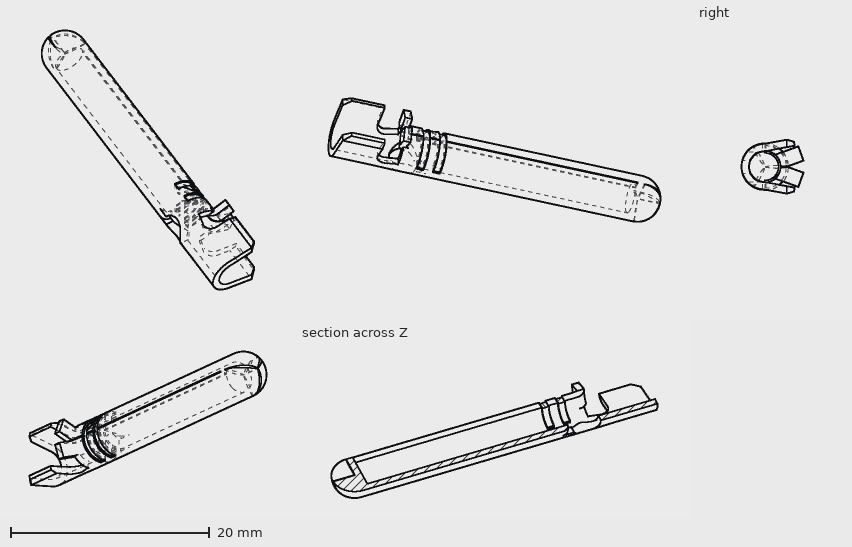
import cadquery as cq
import math


LENGTH = 34.35
SHEET = 0.75
EXTRA = 0.35

TUBE_RADIUS = 4.7 / 2
TUBE_BORE = TUBE_RADIUS - SHEET
TUBE_END = 27.75
SEAM_WIDTH = 0.1
PETAL_COUNT = 3
PETAL_SLIT_END_WIDTH = 0.05
PETAL_SLIT_MIDDLE_WIDTH = 0.27

RING_STARTS = (23.33, 25.08)
RING_WIDTH = 0.72
RING_SINK = 0.2
RING_RADIUS = TUBE_RADIUS - RING_SINK

HOLE_X = 26.65
HOLE_RADIUS = 1.5
SLOT_START = 24.12
SLOT_WIDTH = 1.35

EAR_ANGLE = 20.0
EAR_WIDTH = 1.55
EAR_TIP_RADIUS = 3.88
EAR_BEND_START = 27.25
EAR_BEND_RADIUS = 0.27

BARREL_START = 30.15
BARREL_RADIUS = 2.27
BARREL_Y = BARREL_RADIUS - TUBE_RADIUS
WING_TILT = 10.3
WING_LENGTH = 3.45
WING_BEVEL_LENGTH = 0.65
WING_BEVEL_DEPTH = 0.35
WING_CORNER_X = 0.72
WING_CORNER_Y = 0.75
WING_TIP_Y = 3.0

TRANSITION_TOP = 1.72
NOTCH_LOW_X = 29.17
NOTCH_LOW_Y = -0.25
NOTCH_LEFT_Y = 0.1
NOTCH_CORNER_RADIUS = BARREL_START - NOTCH_LOW_X

ORIGIN = (0, 0, 0)
X_AXIS = (1, 0, 0)
HALF_WAY = math.sqrt(0.5)


def make_pipe(outer, start, length):
    """Plain pipe along X with the sheet thickness as its wall."""
    plane = cq.Workplane("YZ", origin=(start, 0, 0))
    return plane.circle(outer).circle(outer - SHEET).extrude(length)


def block(x0, x1, y0, y1, z0, z1):
    """Box between two opposite corners."""
    return cq.Workplane("XY").box(x1 - x0, y1 - y0, z1 - z0, centered=False).translate((x0, y0, z0))


def make_dome():
    """Solid half ball at the tip with an end wall behind it, slit into petals down to that wall."""
    ball = cq.Workplane("XY").sphere(TUBE_RADIUS).translate((TUBE_RADIUS, 0, 0))
    dome = ball.intersect(block(0, TUBE_RADIUS, -TUBE_RADIUS, TUBE_RADIUS, -TUBE_RADIUS, TUBE_RADIUS))
    end_wall = cq.Workplane("YZ", origin=(TUBE_RADIUS, 0, 0)).circle(TUBE_RADIUS).extrude(SHEET)
    half_end = PETAL_SLIT_END_WIDTH / 2
    half_middle = PETAL_SLIT_MIDDLE_WIDTH / 2
    slit = (
        cq.Workplane("YZ")
        .moveTo(0, -half_end)
        .threePointArc((TUBE_RADIUS / 2, -half_middle), (TUBE_RADIUS, -half_end))
        .lineTo(TUBE_RADIUS, half_end)
        .threePointArc((TUBE_RADIUS / 2, half_middle), (0, half_end))
        .close()
        .extrude(TUBE_RADIUS)
    )
    for petal in range(PETAL_COUNT):
        dome = dome.cut(slit.rotate(ORIGIN, X_AXIS, petal * 360 / PETAL_COUNT))
    return dome.union(end_wall)


def make_ear(side):
    """Strip of the tube wall bent outwards; side is +1 for the +Z ear and -1 for the -Z ear."""
    bend_y = TUBE_RADIUS + EAR_BEND_RADIUS
    outside_radius = EAR_BEND_RADIUS + SHEET
    reach = EAR_TIP_RADIUS + EAR_WIDTH
    profile = (
        cq.Workplane("XY")
        .moveTo(EAR_BEND_START, TUBE_RADIUS)
        .threePointArc(
            (EAR_BEND_START + EAR_BEND_RADIUS * HALF_WAY, bend_y - EAR_BEND_RADIUS * HALF_WAY),
            (EAR_BEND_START + EAR_BEND_RADIUS, bend_y),
        )
        .lineTo(EAR_BEND_START + EAR_BEND_RADIUS, reach)
        .lineTo(EAR_BEND_START + outside_radius, reach)
        .lineTo(EAR_BEND_START + outside_radius, bend_y)
        .threePointArc(
            (EAR_BEND_START + outside_radius * HALF_WAY, bend_y - outside_radius * HALF_WAY),
            (EAR_BEND_START, TUBE_BORE),
        )
        .close()
    )
    flare = profile.revolve(360, ORIGIN, X_AXIS)
    return flare.intersect(ear_strip(side))


def ear_strip(side):
    """Straight-sided band that an ear occupies beside the seam, from the start of its bend onwards."""
    half_width = EAR_WIDTH / 2
    strip = block(EAR_BEND_START, BARREL_START, 0, EAR_TIP_RADIUS, -half_width, half_width)
    strip = strip.rotate(ORIGIN, X_AXIS, EAR_ANGLE)
    strip = strip.intersect(block(0, LENGTH, 0, LENGTH, SEAM_WIDTH / 2, LENGTH))
    return strip if side > 0 else strip.mirror("XY")


def make_trough(x, radius, centre_y, tilt, wall_tip):
    """U-shaped sheet section at x: round bottom, then straight walls leaning out by tilt degrees.

    wall_tip lists the corners of the wall end, from the outside of the sheet to its inside, each as
    (depth below the outside surface, distance along the wall from the round bottom).
    """
    sine = math.sin(math.radians(tilt))
    cosine = math.cos(math.radians(tilt))
    inner_radius = radius - SHEET

    def wall_point(depth, along, side):
        y = centre_y - (radius - depth) * sine + along * cosine
        z = (radius - depth) * cosine + along * sine
        return (y, side * z)

    section = cq.Workplane("YZ", origin=(x, 0, 0)).moveTo(*wall_point(0, 0, 1))
    section = section.threePointArc((centre_y - radius, 0), wall_point(0, 0, -1))
    for depth, along in wall_tip:
        section = section.lineTo(*wall_point(depth, along, -1))
    section = section.lineTo(*wall_point(SHEET, 0, -1))
    section = section.threePointArc((centre_y - inner_radius, 0), wall_point(SHEET, 0, 1))
    for depth, along in reversed(wall_tip):
        section = section.lineTo(*wall_point(depth, along, 1))
    return section.close()


def make_barrel():
    """Open crimp barrel with bevelled wing tips and cut corners at the free end."""
    bevelled_tip = [
        (0, WING_LENGTH - WING_BEVEL_LENGTH),
        (WING_BEVEL_DEPTH, WING_LENGTH),
        (SHEET, WING_LENGTH),
    ]
    section = make_trough(BARREL_START, BARREL_RADIUS, BARREL_Y, WING_TILT, bevelled_tip)
    barrel = section.extrude(LENGTH - BARREL_START)
    corner = (
        cq.Workplane("XY")
        .moveTo(LENGTH - WING_CORNER_X, WING_TIP_Y)
        .lineTo(LENGTH, WING_TIP_Y - WING_CORNER_Y)
        .lineTo(LENGTH + EXTRA, WING_TIP_Y + EXTRA)
        .lineTo(LENGTH - WING_CORNER_X, WING_TIP_Y + EXTRA)
        .close()
        .extrude(LENGTH, both=True)
    )
    return barrel.cut(corner)


def make_transition():
    """Trough that blends from the tube to the barrel, with the notch cut out of its open side."""
    square_tip = [(0, TRANSITION_TOP), (SHEET, TRANSITION_TOP)]
    tube_side = make_trough(TUBE_END, TUBE_RADIUS, 0, 0, square_tip).wires().val()
    barrel_side = make_trough(BARREL_START, BARREL_RADIUS, BARREL_Y, WING_TILT, square_tip).wires().val()
    blend = cq.Workplane(obj=cq.Solid.makeLoft([tube_side, barrel_side], True))
    corner_y = NOTCH_LOW_Y + NOTCH_CORNER_RADIUS
    notch_top = TRANSITION_TOP + EXTRA
    notch = (
        cq.Workplane("XY")
        .moveTo(TUBE_END, NOTCH_LEFT_Y)
        .lineTo(NOTCH_LOW_X, NOTCH_LOW_Y)
        .threePointArc(
            (NOTCH_LOW_X + NOTCH_CORNER_RADIUS * HALF_WAY, corner_y - NOTCH_CORNER_RADIUS * HALF_WAY),
            (BARREL_START, corner_y),
        )
        .lineTo(BARREL_START, notch_top)
        .lineTo(TUBE_END, notch_top)
        .close()
        .extrude(LENGTH, both=True)
    )
    return blend.cut(notch)


def make_hole_and_slot():
    """Cutter for the inspection hole and its slot, whose end wall is rounded over the sheet edge."""
    hole = cq.Workplane("XZ", origin=(HOLE_X, 0, 0)).circle(HOLE_RADIUS).extrude(TUBE_RADIUS + EXTRA)
    profile = (
        cq.Workplane("XY")
        .moveTo(SLOT_START, -TUBE_RADIUS)
        .threePointArc(
            (SLOT_START + SHEET * HALF_WAY, -TUBE_BORE - SHEET * HALF_WAY),
            (SLOT_START + SHEET, -TUBE_BORE),
        )
        .lineTo(HOLE_X, -TUBE_BORE)
        .lineTo(HOLE_X, -TUBE_RADIUS)
        .close()
    )
    half_width = SLOT_WIDTH / 2
    slot = profile.revolve(360, ORIGIN, X_AXIS)
    slot = slot.intersect(block(0, LENGTH, -LENGTH, 0, -half_width, half_width))
    return hole.union(slot)


def make_ring_slot(start):
    """Cutter that opens the +Y half of the tube wall for one half ring."""
    reach = TUBE_RADIUS + EXTRA
    return block(start, start + RING_WIDTH, 0, reach, -reach, reach)


def make_half_ring(start):
    """Half ring bridging the seam, offset inwards from the tube wall."""
    ring = make_pipe(RING_RADIUS, start, RING_WIDTH)
    return ring.intersect(make_ring_slot(start))


def make_pin():
    """The whole contact pin with its openings and ring slots."""
    tube_start = TUBE_RADIUS + SHEET
    tube = make_pipe(TUBE_RADIUS, tube_start, TUBE_END - tube_start)
    half_seam = SEAM_WIDTH / 2
    tube = tube.cut(block(0, LENGTH, 0, TUBE_RADIUS + EXTRA, -half_seam, half_seam))
    for side in (1, -1):
        tube = tube.cut(ear_strip(side))
    pin = make_dome().union(tube)
    for side in (1, -1):
        pin = pin.union(make_ear(side))
    pin = pin.union(make_transition()).union(make_barrel())
    pin = pin.cut(make_hole_and_slot())
    for start in RING_STARTS:
        pin = pin.cut(make_ring_slot(start))
    return pin


pin = make_pin()
half_rings = [make_half_ring(start) for start in RING_STARTS]

result = cq.Compound.makeCompound([pin.solids().val(), *[ring.solids().val() for ring in half_rings]])